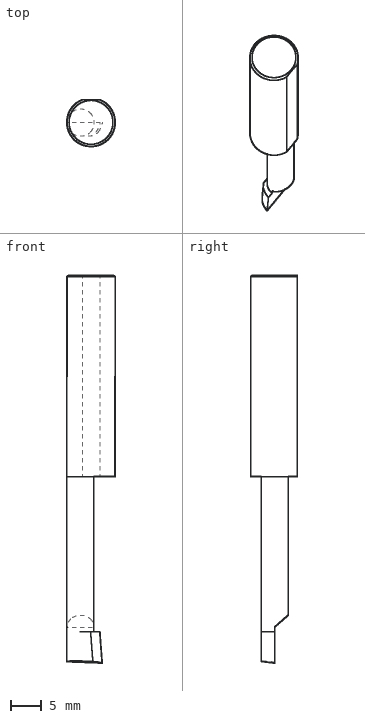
import cadquery as cq

overall_length = 63.5
shank_length = 32.95
shank_diameter = 7.95
shank_radius = shank_diameter / 2
shank_flat_depth = 0.25
chamfer_width = 0.4
chamfer_height = 0.25

neck_radius = 2.2
neck_x = neck_radius - shank_radius
shank_bottom = overall_length - shank_length

rake_length = 5.9
ramp_height = 1.95

head_height = 5.15
tip_x = 1.85
head_taper = 0.4
land_end_x = 0.3
bevel_end_x = 1.1
bevel_end_y = -1.65
flank_bulge = 0.1

end_rise_x = 0.04
end_rise_y = 0.1


def make_shank():
    """Round shank with a chamfered top and a full-length flat on the +Y side."""
    shank = (
        cq.Workplane("XY", origin=(0, 0, shank_bottom))
        .circle(shank_radius)
        .extrude(shank_length)
        .faces(">Z")
        .edges()
        .chamfer(chamfer_height, chamfer_width)
    )
    keep = (
        cq.Workplane("XY", origin=(0, -shank_flat_depth, shank_bottom))
        .rect(shank_diameter, shank_diameter)
        .extrude(shank_length)
    )
    return shank.intersect(keep)


def make_neck():
    """Rod cut in half near the tip, with a ramp back to full section."""
    rod = cq.Workplane("XY").center(neck_x, 0).circle(neck_radius).extrude(shank_bottom)
    half_cut = (
        cq.Workplane("YZ", origin=(neck_x, 0, 0))
        .moveTo(0, 0)
        .lineTo(0, rake_length)
        .lineTo(neck_radius, rake_length + ramp_height)
        .lineTo(neck_radius, 0)
        .close()
        .extrude(neck_radius, both=True)
    )
    return rod.cut(half_cut)


def head_profile(plane, shift):
    """Head section; shift moves its cutting side toward the neck."""
    flank_mid_x = (bevel_end_x + tip_x) / 2 + flank_bulge
    return (
        plane.moveTo(neck_x, 0)
        .lineTo(neck_x, -neck_radius)
        .lineTo(land_end_x - shift, -neck_radius)
        .lineTo(bevel_end_x - shift, bevel_end_y)
        .threePointArc((flank_mid_x - shift, bevel_end_y / 2), (tip_x - shift, 0))
        .close()
    )


def make_head():
    """Cutting head that narrows upward from its tip."""
    bottom = head_profile(cq.Workplane("XY"), 0)
    return head_profile(bottom.workplane(offset=head_height), head_taper).loft(ruled=True)


def make_end_relief():
    """Wedge below the end face, which rises away from the tip toward -X and -Y."""
    normal = (end_rise_x, end_rise_y, 1)
    plane = cq.Plane(origin=(tip_x, 0, 0), xDir=(1, 0, -end_rise_x), normal=normal)
    cutter_size = 2 * shank_diameter
    return cq.Workplane(plane).rect(cutter_size, cutter_size).extrude(-shank_radius)


result = make_shank().union(make_neck()).union(make_head()).cut(make_end_relief())